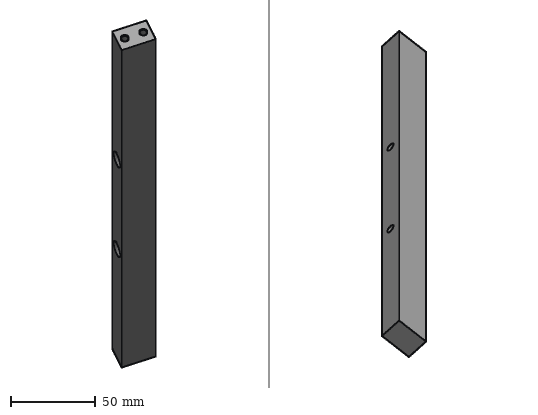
import cadquery as cq
import math

width = 15.0
depth = 22.0
length = 312.5

mount_diameter = 5.3
countersink_diameter = 10.3
countersink_angle = 90
lower_mount_height = 107.5
mount_spacing = 88.0

end_hole_diameter = 4.0
end_hole_mouth_diameter = 5.0
end_hole_mouth_angle = 90
end_hole_spacing = 12.0
end_hole_depth = 15.5
drill_tip_angle = 118


def make_bar():
    """Plain bar standing upright, centred on the origin."""
    return cq.Workplane("XY").box(width, depth, length)


def add_mounting_holes(bar):
    lower_z = lower_mount_height - length / 2
    centers = [(0, lower_z), (0, lower_z + mount_spacing)]
    return (
        bar.faces("<Y")
        .workplane(origin=(0, 0, 0))
        .pushPoints(centers)
        .cskHole(mount_diameter, countersink_diameter, countersink_angle)
    )


def add_end_holes(bar):
    centers = [(0, side * end_hole_spacing / 2) for side in (-1, 1)]
    drilled = (
        bar.faces(">Z")
        .workplane(origin=(0, 0, 0))
        .pushPoints(centers)
        .cskHole(end_hole_diameter, end_hole_mouth_diameter, end_hole_mouth_angle, end_hole_depth)
    )
    tip_depth = end_hole_diameter / 2 / math.tan(math.radians(drill_tip_angle / 2))
    tip = cq.Solid.makeCone(
        end_hole_diameter / 2, 0, tip_depth,
        pnt=cq.Vector(0, 0, length / 2 - end_hole_depth),
        dir=cq.Vector(0, 0, -1),
    )
    for x, y in centers:
        drilled = drilled.cut(cq.Workplane(tip.translate(cq.Vector(x, y, 0))))
    return drilled


result = add_end_holes(add_mounting_holes(make_bar()))